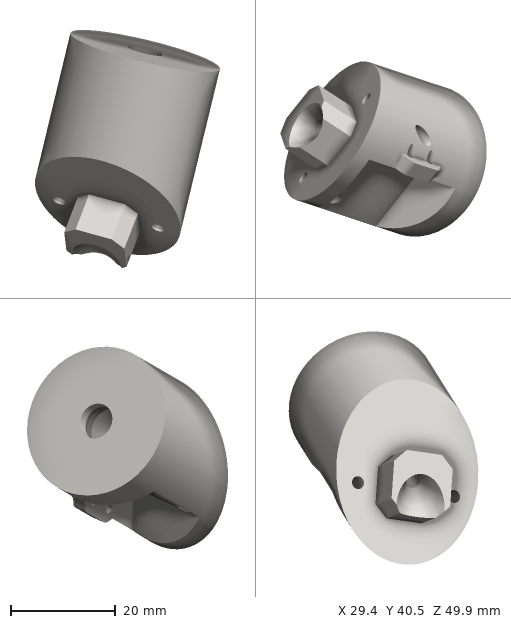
import cadquery as cq
import math


body_diameter = 29.4
body_radius = body_diameter / 2
tilt_angle = 45.0
slant_angle = 35.0
overall_height = 49.85
long_side = overall_height / math.sin(math.radians(tilt_angle)) - body_diameter
slant_slope = math.tan(math.radians(slant_angle))
axis_length = long_side - body_radius * slant_slope

boss_offset = 3.45
boss_width = 12.15
boss_corner = 2.45
boss_height = 8.0

side_hole_diameter = 2.5
side_hole_spacing = 19.95

mouth_diameter = 6.9
mouth_depth = 2.35
chamber_diameter = 8.4
taper_end_depth = 4.5
chamber_depth = 6.5
bore_diameter = 2.75
floor_half_angle = 40.0
floor_run = (chamber_diameter - bore_diameter) / 2 / math.tan(math.radians(floor_half_angle))
floor_end_depth = chamber_depth + floor_run
flare_start_depth = 34.95
flare_half_angle = 30.0
flare_length = 14.95
flare_diameter = bore_diameter + 2 * flare_length * math.tan(math.radians(flare_half_angle))

pocket_wall_x = 3.3
pocket_roof_y = 7.15
pocket_start_depth = 9.35
pocket_end_depth = 28.95
pocket_start_run = -1 / 3
pocket_end_run = 1.0

lug_top_y = 15.8
lug_base_y = math.sqrt(body_radius**2 - pocket_wall_x**2)
lug_root_y = 11.95
lug_thickness = 3.0
lug_start_depth = 15.6
lug_end_depth = 27.3
lug_corner_radius = 2.1
lug_hole_diameter = 1.8
lug_hole_y = 13.05
lug_hole_depths = (18.15, 24.7)

clearance = 2.5

slant_normal = cq.Vector(
    0, -math.sin(math.radians(slant_angle)), -math.cos(math.radians(slant_angle))
)
slant_downhill = cq.Vector(0, -slant_normal.z, slant_normal.y)
boss_plane = cq.Plane(
    origin=cq.Vector(0, 0, -axis_length) + slant_downhill * boss_offset,
    xDir=(1, 0, 0),
    normal=slant_normal,
)


def bore(diameter, start_depth, end_depth):
    """Solid cylinder on the part axis between two depths."""
    return (
        cq.Workplane("XY", origin=(0, 0, -start_depth))
        .circle(diameter / 2)
        .extrude(start_depth - end_depth)
    )


def cone(start_diameter, end_diameter, start_depth, end_depth):
    """Solid cone frustum on the part axis between two depths."""
    frustum = cq.Solid.makeCone(
        start_diameter / 2,
        end_diameter / 2,
        end_depth - start_depth,
        pnt=cq.Vector(0, 0, -start_depth),
        dir=cq.Vector(0, 0, -1),
    )
    return cq.Workplane(frustum)


def make_body():
    profile = [
        (-body_radius, 0),
        (body_radius, 0),
        (body_radius, -long_side),
        (-body_radius, -axis_length + body_radius * slant_slope),
    ]
    slanted_block = cq.Workplane("YZ").polyline(profile).close().extrude(body_radius, both=True)
    return bore(body_diameter, 0, long_side).intersect(slanted_block)


def make_boss():
    boss = cq.Workplane(boss_plane).rect(boss_width, boss_width).extrude(boss_height)
    corners = cq.selectors.ParallelDirSelector(slant_normal)
    return boss.edges(corners).chamfer(boss_corner)


def make_side_holes():
    half_spacing = side_hole_spacing / 2
    return (
        cq.Workplane(boss_plane)
        .pushPoints([(-half_spacing, 0), (half_spacing, 0)])
        .circle(side_hole_diameter / 2)
        .extrude(-long_side)
    )


def make_passage():
    mouth = bore(mouth_diameter, 0, mouth_depth)
    taper = cone(mouth_diameter, chamber_diameter, mouth_depth, taper_end_depth)
    chamber = bore(chamber_diameter, taper_end_depth, chamber_depth)
    floor = cone(chamber_diameter, bore_diameter, chamber_depth, floor_end_depth)
    channel = bore(bore_diameter, floor_end_depth, flare_start_depth)
    flare_end_depth = flare_start_depth + flare_length
    flare = cone(bore_diameter, flare_diameter, flare_start_depth, flare_end_depth)
    return mouth.union(taper).union(chamber).union(floor).union(channel).union(flare)


def make_pocket():
    outer_y = body_radius + clearance
    rise = outer_y - pocket_roof_y
    profile = [
        (pocket_roof_y, -pocket_start_depth),
        (outer_y, -pocket_start_depth - rise * pocket_start_run),
        (outer_y, -pocket_end_depth - rise * pocket_end_run),
        (pocket_roof_y, -pocket_end_depth),
    ]
    return (
        cq.Workplane("YZ", origin=(pocket_wall_x, 0, 0))
        .polyline(profile)
        .close()
        .extrude(-pocket_wall_x - body_radius)
    )


def make_lug():
    """Raised tab with 45 degree ends; all but its far root corner are rounded."""
    rise = lug_top_y - lug_base_y
    bend = math.radians(45)
    tangent = lug_corner_radius * math.tan(bend / 2)
    side_reach = tangent * math.cos(bend)
    mid_side = lug_corner_radius * math.sin(bend / 2)
    mid_drop = lug_corner_radius * (1 - math.cos(bend / 2))
    top_start = lug_start_depth + rise + tangent
    top_end = lug_end_depth - rise - tangent
    root_start = lug_start_depth - tangent
    return (
        cq.Workplane("YZ", origin=(pocket_wall_x, 0, 0))
        .moveTo(lug_root_y, -root_start)
        .lineTo(lug_base_y, -root_start)
        .threePointArc(
            (lug_base_y + mid_drop, -root_start - mid_side),
            (lug_base_y + side_reach, -lug_start_depth - side_reach),
        )
        .lineTo(lug_top_y - side_reach, -top_start + tangent + side_reach)
        .threePointArc((lug_top_y - mid_drop, -top_start + mid_side), (lug_top_y, -top_start))
        .lineTo(lug_top_y, -top_end)
        .threePointArc(
            (lug_top_y - mid_drop, -top_end - mid_side),
            (lug_top_y - side_reach, -top_end - tangent - side_reach),
        )
        .lineTo(lug_base_y, -lug_end_depth)
        .lineTo(lug_root_y, -lug_end_depth)
        .close()
        .extrude(lug_thickness)
    )


def make_lug_holes():
    return (
        cq.Workplane("YZ", origin=(pocket_wall_x, 0, 0))
        .pushPoints([(lug_hole_y, -depth) for depth in lug_hole_depths])
        .circle(lug_hole_diameter / 2)
        .extrude(body_radius)
    )


part = make_body().cut(make_pocket()).union(make_boss()).union(make_lug())
part = part.cut(make_side_holes()).cut(make_passage()).cut(make_lug_holes())

result = part.rotate((0, 0, 0), (1, 0, 0), -tilt_angle)